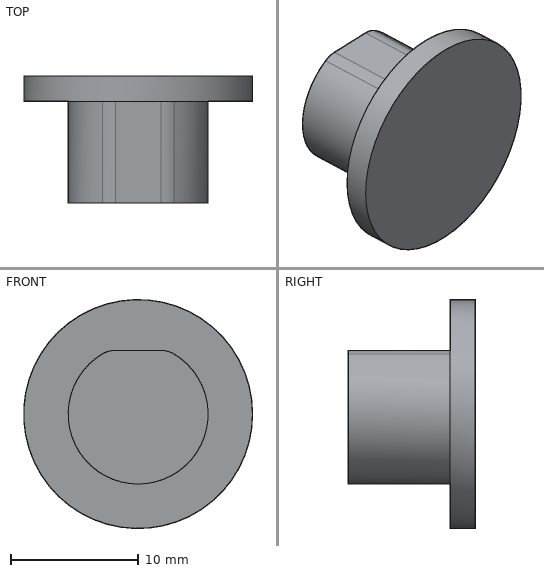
import cadquery as cq

flange_diameter = 18.0
flange_thickness = 2.0
total_length = 10.0
shaft_diameter = 11.0
flat_height = 5.0
flat_edge_radius = 2.0

shaft_length = total_length - flange_thickness
shaft_radius = shaft_diameter / 2


def make_shaft():
    """Round shaft along -Y with a flat on top, blended into the round side."""
    shaft = cq.Workplane("XZ").circle(shaft_radius).extrude(shaft_length)
    above_flat = (
        cq.Workplane("XY", origin=(0, -shaft_length / 2, flat_height))
        .rect(shaft_diameter, shaft_length)
        .extrude(shaft_radius)
    )
    return shaft.cut(above_flat).faces(">Z").edges("|Y").fillet(flat_edge_radius)


def make_flange():
    """Plain disc behind the shaft, on the +Y side."""
    return cq.Workplane("XZ").circle(flange_diameter / 2).extrude(-flange_thickness)


result = make_flange().union(make_shaft())